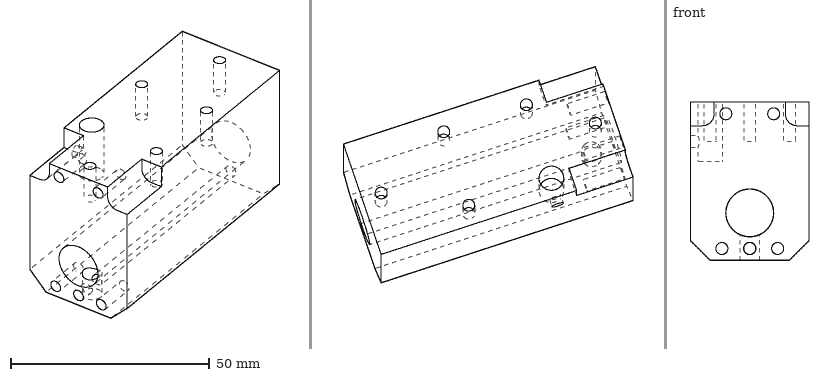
import cadquery as cq

WIDTH = 30.0
LENGTH = 67
HEIGHT = 40.0
BOTTOM_CHAMFER = 5.0

RELIEF_SIZE = 6.0
RELIEF_LENGTH = 15.0
RELIEF_RADIUS = 3.0

BORE_DIAMETER = 12.0
BORE_HEIGHT = 12.0
HOLE_DIAMETER = 3.0
HOLE_EDGE_DISTANCE = 3.0
UPPER_HOLE_OFFSET = 6.0
LOWER_HOLE_OFFSET = 7.05
BLIND_DEPTH = 10.05

TOP_HOLE_OFFSET = 10.0
FRONT_ROW_Y = 20.0
REAR_ROW_Y = 42.0
END_HOLE_INSET = 5.0
POCKET_DIAMETER = 6.2
POCKET_DEPTH = 15.0
SIDE_HOLE_DROP = 10.0

PORT_DIAMETER = 5.0
PORT_INSET = 6.0


def block():
    body = cq.Workplane("XY").box(WIDTH, LENGTH, HEIGHT, centered=(True, False, False))
    return body.edges("|Y and <Z").chamfer(BOTTOM_CHAMFER)


def corner_relief(side):
    """Notch with a rounded inner corner along one top edge; side is -1 (left) or +1 (right)."""
    notch = (
        cq.Workplane("XY")
        .box(2 * RELIEF_SIZE, 2 * RELIEF_LENGTH, 2 * RELIEF_SIZE)
        .edges("|Y")
        .fillet(RELIEF_RADIUS)
    )
    return notch.translate((side * WIDTH / 2, 0, HEIGHT))


def hole_along_y(x, z, diameter, depth):
    axis = cq.Vector(0, 1, 0)
    return cq.Solid.makeCylinder(diameter / 2, depth, cq.Vector(x, 0, z), axis)


def hole_from_top(x, y, diameter, depth):
    axis = cq.Vector(0, 0, -1)
    return cq.Solid.makeCylinder(diameter / 2, depth, cq.Vector(x, y, HEIGHT), axis)


def side_hole():
    """Cross hole from the left face into the wide top pocket."""
    start = cq.Vector(-WIDTH / 2, FRONT_ROW_Y, HEIGHT - SIDE_HOLE_DROP)
    depth = WIDTH / 2 - TOP_HOLE_OFFSET
    return cq.Solid.makeCylinder(HOLE_DIAMETER / 2, depth, start, cq.Vector(1, 0, 0))


def bottom_port():
    """Hole from the underside to the bore axis, so it opens fully into the bore."""
    base = cq.Vector(0, PORT_INSET, 0)
    return cq.Solid.makeCylinder(PORT_DIAMETER / 2, BORE_HEIGHT, base, cq.Vector(0, 0, 1))


result = block()

for side in (-1, 1):
    result = result.cut(corner_relief(side))

result = result.cut(hole_along_y(0, BORE_HEIGHT, BORE_DIAMETER, LENGTH))
result = result.cut(hole_along_y(0, HOLE_EDGE_DISTANCE, HOLE_DIAMETER, LENGTH))

upper_z = HEIGHT - HOLE_EDGE_DISTANCE
for side in (-1, 1):
    for offset, z in ((UPPER_HOLE_OFFSET, upper_z), (LOWER_HOLE_OFFSET, HOLE_EDGE_DISTANCE)):
        result = result.cut(hole_along_y(side * offset, z, HOLE_DIAMETER, BLIND_DEPTH))

for x, y in (
    (-TOP_HOLE_OFFSET, REAR_ROW_Y),
    (TOP_HOLE_OFFSET, REAR_ROW_Y),
    (TOP_HOLE_OFFSET, FRONT_ROW_Y),
    (0, END_HOLE_INSET),
    (0, LENGTH - END_HOLE_INSET),
):
    result = result.cut(hole_from_top(x, y, HOLE_DIAMETER, BLIND_DEPTH))

result = result.cut(hole_from_top(-TOP_HOLE_OFFSET, FRONT_ROW_Y, POCKET_DIAMETER, POCKET_DEPTH))
result = result.cut(side_hole())

result = result.cut(bottom_port())